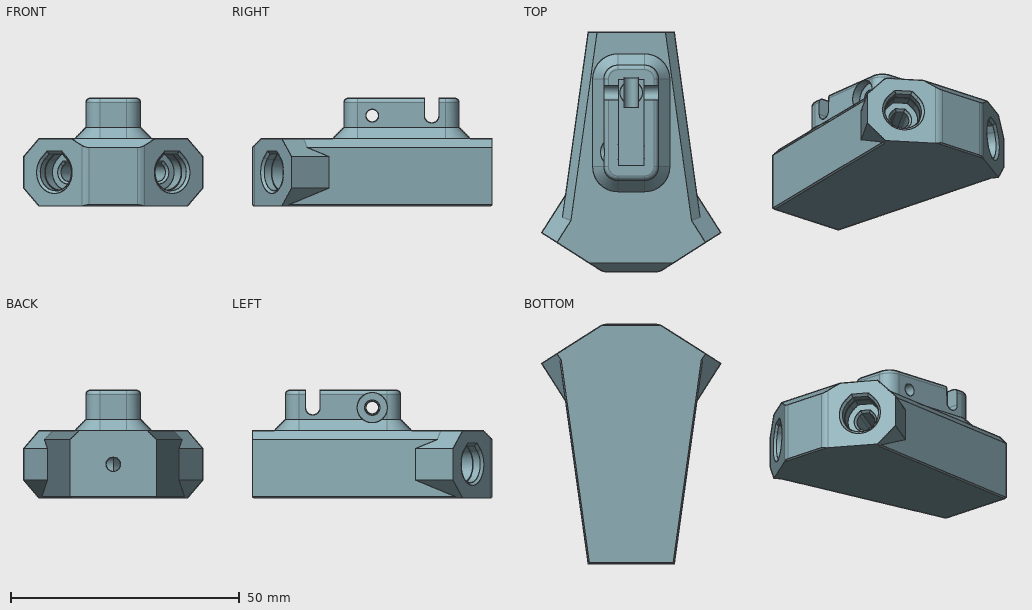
import cadquery as cq
import math

LENGTH = 52.4
WIDTH = 39.2
BASE_HEIGHT = 14.7
BACK_HALF_WIDTH = 9.45
SIDE_TAPER = 7.9
TOP_CHAMFER = 1.95
BOTTOM_CHAMFER = 0.3
NOSE_HALF_WIDTH = 6.15
NOSE_FILLET = 3.0

SOCKET_ANGLE = 32.5
SOCKET_LENGTH = 10.5
SOCKET_CHAMFER_ACROSS = 4.0
SOCKET_CHAMFER_HEIGHT = 3.95
MOUTH_RADIUS = 4.6
MOUTH_CHAMFER = 0.6
COLLAR_RADIUS = MOUTH_RADIUS - MOUTH_CHAMFER
COLLAR_DEPTH = 2.4
SEAT_RADIUS = 3.9
SEAT_DEPTH = 5.3
TUBE_RADIUS = 2.0
TUBE_CHAMFER = 0.5
OUTLET_RADIUS = 1.545

TOTAL_HEIGHT = 23.6
BOSS_WIDTH = 11.95
BOSS_LENGTH = 25.2
BOSS_CENTRE_Y = 32.6
BOSS_CORNER_RADIUS = 3.05
BOSS_TOP_FILLET = 1.0
SKIRT = 2.45
POCKET_WIDTH = 5.65
POCKET_LENGTH = 18.8
POCKET_CENTRE_Y = 32.7

CROSS_HEIGHT = 19.75
AXLE_Y = 39.2
AXLE_RADIUS = 1.55
SCREW_Y = 26.2
SCREW_HEAD_RADIUS = 3.3
SCREW_HEAD_DEPTH = 2.0
SCREW_CLEARANCE_RADIUS = 1.7
SCREW_THREAD_RADIUS = 1.35

SLOT_LENGTH = 6.5
RECESS_RADIUS = 2.45
RECESS_DEPTH = 1.0

HALF_HEIGHT = BASE_HEIGHT / 2
ANGLE = math.radians(SOCKET_ANGLE)
FACE_RUN_X = WIDTH / 2 - NOSE_HALF_WIDTH
FACE_WIDTH = FACE_RUN_X / math.cos(ANGLE)
FACE_CENTRE_X = NOSE_HALF_WIDTH + FACE_RUN_X / 2
FACE_CENTRE_Y = FACE_RUN_X / 2 * math.tan(ANGLE)
JUNCTION_Y = FACE_CENTRE_Y + FACE_CENTRE_X / math.tan(ANGLE)
JUNCTION_DEPTH = FACE_CENTRE_X / math.sin(ANGLE)


def mirrored(shape):
    return shape.union(shape.mirror("YZ"))


def wedge():
    """Tapered base; its long sides end on the two angled front faces."""
    side_slope = math.tan(math.radians(SIDE_TAPER))
    face_slope = math.tan(ANGLE)
    side_at_front = BACK_HALF_WIDTH + side_slope * LENGTH
    corner_y = face_slope * (side_at_front - NOSE_HALF_WIDTH) / (1 + face_slope * side_slope)
    corner_x = side_at_front - side_slope * corner_y
    body = (
        cq.Workplane("XY")
        .polyline([
            (-NOSE_HALF_WIDTH, 0),
            (NOSE_HALF_WIDTH, 0),
            (corner_x, corner_y),
            (BACK_HALF_WIDTH, LENGTH),
            (-BACK_HALF_WIDTH, LENGTH),
            (-corner_x, corner_y),
        ])
        .close()
        .extrude(BASE_HEIGHT)
    )
    middle_x = (corner_x + BACK_HALF_WIDTH) / 2
    middle_y = (corner_y + LENGTH) / 2
    for x in (-middle_x, middle_x):
        top_edge = cq.selectors.NearestToPointSelector((x, middle_y, BASE_HEIGHT))
        body = body.edges(top_edge).chamfer(TOP_CHAMFER)
        bottom_edge = cq.selectors.NearestToPointSelector((x, middle_y, 0))
        body = body.edges(bottom_edge).chamfer(BOTTOM_CHAMFER)
    return body.edges("|Z and <Y").fillet(NOSE_FILLET)


def length_profile():
    """Side outline of the base, with its front and back edges bevelled."""
    return (
        cq.Workplane("YZ")
        .polyline([
            (BOTTOM_CHAMFER, 0),
            (LENGTH - BOTTOM_CHAMFER, 0),
            (LENGTH, BOTTOM_CHAMFER),
            (LENGTH, BASE_HEIGHT),
            (TOP_CHAMFER, BASE_HEIGHT),
            (0, BASE_HEIGHT - TOP_CHAMFER),
            (0, BOTTOM_CHAMFER),
        ])
        .close()
        .extrude(WIDTH / 2, both=True)
    )


def socket_plane(depth=0.0):
    """Plane on the right socket axis: local x outward, local y up, normal out of the part."""
    inward_x = -math.sin(ANGLE)
    inward_y = math.cos(ANGLE)
    origin = (FACE_CENTRE_X + depth * inward_x, FACE_CENTRE_Y + depth * inward_y, HALF_HEIGHT)
    return cq.Workplane(
        cq.Plane(origin, xDir=(math.cos(ANGLE), math.sin(ANGLE), 0), normal=(-inward_x, -inward_y, 0))
    )


def socket_block():
    """Outer half of a socket, with bevelled upper and lower outer edges."""
    outer = FACE_WIDTH / 2
    bevel_start = outer - SOCKET_CHAMFER_ACROSS
    bevel_height = HALF_HEIGHT - SOCKET_CHAMFER_HEIGHT
    return (
        socket_plane()
        .polyline([
            (0, -HALF_HEIGHT),
            (bevel_start, -HALF_HEIGHT),
            (outer, -bevel_height),
            (outer, bevel_height),
            (bevel_start, HALF_HEIGHT),
            (0, HALF_HEIGHT),
        ])
        .close()
        .extrude(-SOCKET_LENGTH)
    )


def flat_top_circle(plane, radius):
    """Circle whose upper part is three tangent straights: two at 45 degrees and a level one."""
    tangent = radius / math.sqrt(2)
    half_flat = radius * (math.sqrt(2) - 1)
    return (
        plane.moveTo(-half_flat, radius)
        .lineTo(-tangent, tangent)
        .threePointArc((0, -radius), (tangent, tangent))
        .lineTo(half_flat, radius)
        .close()
    )


def bore(radius, depth):
    return flat_top_circle(socket_plane(), radius).extrude(-depth)


def bore_chamfer(depth, radius, size):
    """45-degree lead-in that narrows from radius over the given size."""
    outer = flat_top_circle(socket_plane(depth), radius).wires().val()
    inner = flat_top_circle(socket_plane(depth + size), radius - size).wires().val()
    return cq.Workplane(cq.Solid.makeLoft([outer, inner], True))


def socket_bore():
    """Stepped socket bore, ending where the left and right tube bores meet."""
    return (
        bore(COLLAR_RADIUS, COLLAR_DEPTH)
        .union(bore_chamfer(0, MOUTH_RADIUS, MOUTH_CHAMFER))
        .union(bore(SEAT_RADIUS, SEAT_DEPTH))
        .union(bore_chamfer(SEAT_DEPTH, TUBE_RADIUS + TUBE_CHAMFER, TUBE_CHAMFER))
        .union(bore(TUBE_RADIUS, JUNCTION_DEPTH))
    )


def outlet():
    """Round channel from the meeting point of the tube bores to the back face."""
    return (
        cq.Workplane("XZ", origin=(0, JUNCTION_Y, HALF_HEIGHT))
        .circle(OUTLET_RADIUS)
        .extrude(JUNCTION_Y - LENGTH)
    )


def rounded_block(width, length, height, radius, base_z):
    return (
        cq.Workplane("XY", origin=(0, BOSS_CENTRE_Y, base_z))
        .rect(width, length)
        .extrude(height)
        .edges("|Z")
        .fillet(radius)
    )


def boss():
    """Round-cornered boss on a 45-degree skirt."""
    tower = rounded_block(
        BOSS_WIDTH, BOSS_LENGTH, TOTAL_HEIGHT - BASE_HEIGHT, BOSS_CORNER_RADIUS, BASE_HEIGHT
    )
    tower = tower.faces(">Z").edges().fillet(BOSS_TOP_FILLET)
    skirt = (
        rounded_block(
            BOSS_WIDTH + 2 * SKIRT,
            BOSS_LENGTH + 2 * SKIRT,
            SKIRT,
            BOSS_CORNER_RADIUS + SKIRT,
            BASE_HEIGHT,
        )
        .faces("<Z")
        .wires()
        .toPending()
        .extrude(SKIRT, taper=45, combine=False)
    )
    return tower.union(skirt)


def x_cylinder(y, radius, start_x, end_x):
    return (
        cq.Workplane("YZ", origin=(start_x, y, CROSS_HEIGHT))
        .circle(radius)
        .extrude(end_x - start_x)
    )


def pocket():
    """Rectangular pocket down to the level of the base top."""
    return (
        cq.Workplane("XY", origin=(0, POCKET_CENTRE_Y, BASE_HEIGHT))
        .rect(POCKET_WIDTH, POCKET_LENGTH)
        .extrude(TOTAL_HEIGHT - BASE_HEIGHT)
    )


def axle_slot():
    """Round-bottomed slot across both boss walls, open at the top."""
    upper = (
        cq.Workplane("XY", origin=(0, AXLE_Y, CROSS_HEIGHT))
        .rect(BOSS_WIDTH, 2 * AXLE_RADIUS)
        .extrude(TOTAL_HEIGHT - CROSS_HEIGHT)
    )
    return upper.union(x_cylinder(AXLE_Y, AXLE_RADIUS, -BOSS_WIDTH / 2, BOSS_WIDTH / 2))


def screw_hole():
    """Counterbored clearance hole in the left wall, smaller thread hole in the right wall."""
    wall = BOSS_WIDTH / 2
    skirt_edge = wall + SKIRT
    return (
        x_cylinder(SCREW_Y, SCREW_HEAD_RADIUS, -skirt_edge, SCREW_HEAD_DEPTH - wall)
        .union(x_cylinder(SCREW_Y, SCREW_CLEARANCE_RADIUS, -wall, 0))
        .union(x_cylinder(SCREW_Y, SCREW_THREAD_RADIUS, 0, skirt_edge))
    )


def floor_slot():
    """Slot from the outlet channel up through the pocket, with a round recess in the floor."""
    slot = (
        cq.Workplane("XY", origin=(0, AXLE_Y, HALF_HEIGHT))
        .rect(2 * OUTLET_RADIUS, SLOT_LENGTH)
        .extrude(TOTAL_HEIGHT - HALF_HEIGHT)
    )
    recess = (
        cq.Workplane("XY", origin=(0, AXLE_Y, BASE_HEIGHT - RECESS_DEPTH))
        .circle(RECESS_RADIUS)
        .extrude(RECESS_DEPTH)
    )
    return slot.union(recess)


base = wedge().union(mirrored(socket_block())).intersect(length_profile())
result = (
    base.union(boss())
    .cut(mirrored(socket_bore()))
    .cut(outlet())
    .cut(pocket())
    .cut(axle_slot())
    .cut(screw_hole())
    .cut(floor_slot())
)